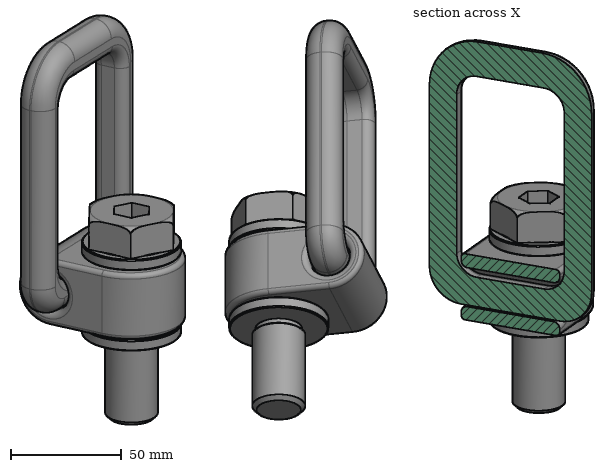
import cadquery as cq
import math


housing_end_radius = 16.0
housing_height = 2 * housing_end_radius
housing_width = 50.0
housing_nose_radius = housing_width / 2
nose_center_x = 28.0
housing_edge_fillet = 2.2
pivot_bore_radius = 9.3
pivot_mouth_fillet = 3.3

bolt_offset = 0.7
bolt_axis_x = nose_center_x + bolt_offset
sleeve_radius = 17.3
flange_radius = 45.0 / 2
flange_thickness = 5.3
flange_gap = 1.0
flange_edge_chamfer = 0.5
flange_inner_z = housing_height / 2 + flange_gap
flange_outer_z = flange_inner_z + flange_thickness

head_flats = 38.1
head_height = 14.8
head_rounding_radius = 22.0
head_corner_fillet = 3.3
bearing_face_radius = 18.6
bearing_face_height = 0.4
socket_flats = 15.9
socket_depth = 9.1
neck_radius = 10.5
shaft_radius = 12.0
neck_end_z = -24.2
shaft_start_z = -25.3
shaft_tip_z = -63.0
tip_chamfer = 2.0
head_bottom_z = flange_outer_z + bearing_face_height
head_top_z = head_bottom_z + head_height

overall_height = 182.3
ring_width = 82.0
ring_depth = 16.8
ring_top_z = overall_height + shaft_tip_z
ring_bottom_z = -8.7
leg_thickness = 14.0
top_bar_thickness = 17.0
bottom_bar_thickness = 14.4
ring_top_outer_radius = 25.0
ring_bottom_outer_radius = 16.0
ring_inner_radius = 10.0
ring_outer_fillet = 8.0
ring_inner_fillet = 5.0


def hexagon(flats):
    """Hexagon on the bolt axis with two corners along X."""
    corner_diameter = flats / math.cos(math.pi / 6)
    return cq.Workplane("XY").center(bolt_axis_x, 0).polygon(6, corner_diameter)


def bolt_cylinder(radius, bottom_z, top_z):
    """Cylinder on the bolt axis between two heights."""
    return (
        cq.Workplane("XY", origin=(bolt_axis_x, 0, bottom_z))
        .circle(radius)
        .extrude(top_z - bottom_z)
    )


def revolve_about_bolt_axis(profile):
    """Solid of revolution from (radius, height) points."""
    return (
        cq.Workplane("XZ", origin=(bolt_axis_x, 0, 0))
        .polyline(profile)
        .close()
        .revolve(360, (0, 0, 0), (0, 1, 0))
    )


def make_housing():
    side_outline = (
        cq.Workplane("XZ")
        .moveTo(0, housing_end_radius)
        .lineTo(nose_center_x + housing_nose_radius, housing_end_radius)
        .lineTo(nose_center_x + housing_nose_radius, -housing_end_radius)
        .lineTo(0, -housing_end_radius)
        .threePointArc((-housing_end_radius, 0), (0, housing_end_radius))
        .close()
        .extrude(housing_width / 2, both=True)
    )
    plan_outline = (
        cq.Workplane("XY")
        .moveTo(-housing_end_radius, -housing_width / 2)
        .lineTo(nose_center_x, -housing_width / 2)
        .threePointArc(
            (nose_center_x + housing_nose_radius, 0),
            (nose_center_x, housing_width / 2),
        )
        .lineTo(-housing_end_radius, housing_width / 2)
        .close()
        .extrude(housing_height / 2, both=True)
    )
    block = side_outline.intersect(plan_outline)
    block = block.edges("not(|Y or |Z)").fillet(housing_edge_fillet)

    pivot_bore = cq.Workplane("XZ").circle(pivot_bore_radius).extrude(housing_width, both=True)
    block = block.cut(pivot_bore)
    bore_rim = cq.selectors.RadiusNthSelector(0)
    block = block.faces("<Y or >Y").edges(bore_rim).fillet(pivot_mouth_fillet)

    return block.cut(bolt_cylinder(sleeve_radius, -housing_height, housing_height))


def make_flange(bottom_z):
    flange = bolt_cylinder(flange_radius, bottom_z, bottom_z + flange_thickness)
    return flange.edges().chamfer(flange_edge_chamfer)


def make_bushing():
    bushing = bolt_cylinder(sleeve_radius, -flange_outer_z, flange_outer_z)
    for bottom_z in (flange_inner_z, -flange_outer_z):
        bushing = bushing.union(make_flange(bottom_z))
    return bushing.cut(bolt_cylinder(neck_radius, -flange_outer_z, flange_outer_z))


def make_bolt_head():
    head = hexagon(head_flats).extrude(head_height).translate((0, 0, head_bottom_z))
    corner_rounding = bolt_cylinder(head_rounding_radius, head_bottom_z, head_top_z)
    corner_rounding = corner_rounding.faces(">Z").edges().fillet(head_corner_fillet)
    socket = hexagon(socket_flats).extrude(socket_depth).translate((0, 0, head_top_z - socket_depth))
    return head.intersect(corner_rounding).cut(socket)


def make_bolt():
    stem = revolve_about_bolt_axis([
        (0, head_bottom_z),
        (bearing_face_radius, head_bottom_z),
        (bearing_face_radius, flange_outer_z),
        (neck_radius, flange_outer_z),
        (neck_radius, neck_end_z),
        (shaft_radius, shaft_start_z),
        (shaft_radius, shaft_tip_z + tip_chamfer),
        (shaft_radius - tip_chamfer, shaft_tip_z),
        (0, shaft_tip_z),
    ])
    return make_bolt_head().union(stem)


def rounded_frame_block(width, bottom_z, top_z, bottom_radius, top_radius):
    """Block in the YZ plane, as deep as the ring, with rounded corners."""
    return (
        cq.Workplane("XY")
        .box(ring_depth, width, top_z - bottom_z)
        .translate((0, 0, (top_z + bottom_z) / 2))
        .edges("|X and <Z").fillet(bottom_radius)
        .edges("|X and >Z").fillet(top_radius)
    )


def make_ring():
    outer = rounded_frame_block(
        ring_width, ring_bottom_z, ring_top_z,
        ring_bottom_outer_radius, ring_top_outer_radius,
    )
    outer = outer.faces("<X or >X").edges().fillet(ring_outer_fillet)
    opening = rounded_frame_block(
        ring_width - 2 * leg_thickness,
        ring_bottom_z + bottom_bar_thickness,
        ring_top_z - top_bar_thickness,
        ring_inner_radius,
        ring_inner_radius,
    )
    frame = outer.cut(opening)
    return frame.faces("<X or >X").wires(cq.selectors.LengthNthSelector(0)).fillet(ring_inner_fillet)


housing = make_housing()
bushing = make_bushing()
bolt = make_bolt()
ring = make_ring()

result = cq.Compound.makeCompound([housing.val(), bushing.val(), bolt.val(), ring.val()])